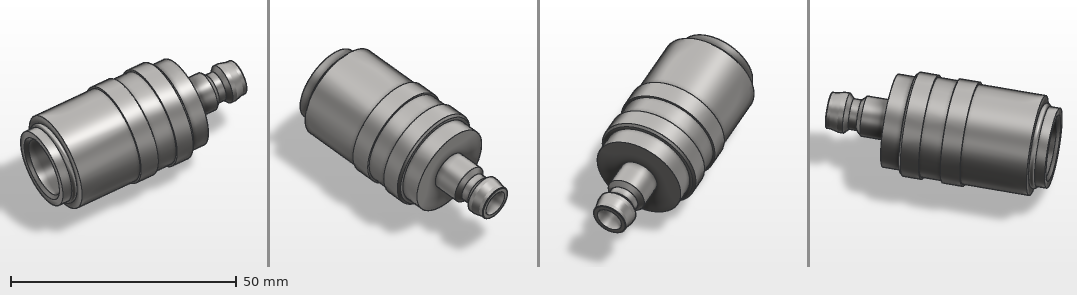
import cadquery as cq

LENGTH = 51.0
SOCKET_END = -LENGTH / 2
PLUG_END = LENGTH / 2

TIP_CHAMFER = 0.15
TIP_LENGTH = 1.0
BEAD_START = 2.9
BEAD_END = 4.05
NECK_START = 5.1
NECK_END = 6.95
STEM_START = NECK_END + NECK_START - BEAD_END
CAP_START = 14.0
COLLAR_START = 18.3
COLLAR_CHAMFER = 0.5
COLLAR_END = 22.95
BAND_START = 27.85
BAND_END = 32.35
BARREL_END = 47.4

TIP_RADIUS = 4.1
STEM_RADIUS = 4.55
NECK_RADIUS = 3.45
CAP_RADIUS = 10.5
COLLAR_RADIUS = 11.755
BARREL_RADIUS = 11.25
SPIGOT_RADIUS = 9.05

RING_OUTER_RADIUS = 9.65
RING_SECTION_RADIUS = 0.65

BORE_RADIUS = 6.75
BORE_MOUTH_RADIUS = 7.5
BORE_CHAMFER = BORE_MOUTH_RADIUS - BORE_RADIUS
BORE_DEPTH = LENGTH - COLLAR_START
PASSAGE_RADIUS = 3.0


def along(distance):
    """Y position at a distance from the plug end."""
    return PLUG_END - distance


def turn_about_y(profile):
    """Revolve a closed profile a full turn about the Y axis."""
    return profile.revolve(360, (0, 0, 0), (0, 1, 0))


def make_body():
    """Solid plug, cap, barrel and spigot in one turned outline."""
    outline = [
        (0, PLUG_END),
        (TIP_RADIUS - TIP_CHAMFER, PLUG_END),
        (TIP_RADIUS, along(TIP_CHAMFER)),
        (TIP_RADIUS, along(TIP_LENGTH)),
        (STEM_RADIUS, along(BEAD_START)),
        (STEM_RADIUS, along(BEAD_END)),
        (NECK_RADIUS, along(NECK_START)),
        (NECK_RADIUS, along(NECK_END)),
        (STEM_RADIUS, along(STEM_START)),
        (STEM_RADIUS, along(CAP_START)),
        (CAP_RADIUS, along(CAP_START)),
        (CAP_RADIUS, along(COLLAR_START)),
        (COLLAR_RADIUS - COLLAR_CHAMFER, along(COLLAR_START)),
        (COLLAR_RADIUS, along(COLLAR_START + COLLAR_CHAMFER)),
        (COLLAR_RADIUS, along(COLLAR_END)),
        (BARREL_RADIUS, along(COLLAR_END)),
        (BARREL_RADIUS, along(BAND_START)),
        (COLLAR_RADIUS, along(BAND_START)),
        (COLLAR_RADIUS, along(BAND_END)),
        (BARREL_RADIUS, along(BAND_END)),
        (BARREL_RADIUS, along(BARREL_END)),
        (SPIGOT_RADIUS, along(BARREL_END)),
        (SPIGOT_RADIUS, SOCKET_END),
        (0, SOCKET_END),
    ]
    return turn_about_y(cq.Workplane("XY").polyline(outline).close())


def make_ring():
    """Round-section ring around the spigot."""
    center_radius = RING_OUTER_RADIUS - RING_SECTION_RADIUS
    center_y = along(BARREL_END + RING_SECTION_RADIUS)
    section = cq.Workplane("XY").moveTo(center_radius, center_y).circle(RING_SECTION_RADIUS)
    return turn_about_y(section)


def make_passages():
    """Chamfered socket bore with a flat floor, and the passage through the plug."""
    floor = SOCKET_END + BORE_DEPTH
    outline = [
        (0, SOCKET_END),
        (BORE_MOUTH_RADIUS, SOCKET_END),
        (BORE_RADIUS, SOCKET_END + BORE_CHAMFER),
        (BORE_RADIUS, floor),
        (PASSAGE_RADIUS, floor),
        (PASSAGE_RADIUS, PLUG_END),
        (0, PLUG_END),
    ]
    return turn_about_y(cq.Workplane("XY").polyline(outline).close())


result = make_body().union(make_ring()).cut(make_passages())